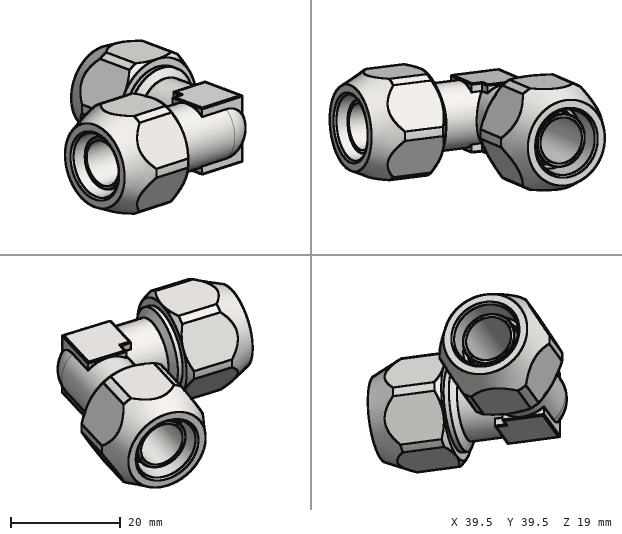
import cadquery as cq
import math

ARM_LENGTH = 29.0
ARM_ANGLE = 90.0

NUT_ACROSS_FLATS = 19.0
NUT_CORNER_RADIUS = 10.5
NUT_LENGTH = 14.5
NUT_END_RADIUS = 8.0
NUT_TAPER_LENGTH = 5.6
NUT_BACK_CHAMFER = 1.0

TUBE_RADIUS = 6.25
COLLAR_RADIUS = 8.0
COLLAR_LENGTH = 1.0
COLLAR_TAPER_LENGTH = 1.0

PAD_OUTER = 4.0
PAD_INNER = 6.0
PAD_NOTCH = 3.9
PAD_HALF_HEIGHT = 6.5
PAD_EDGE_CHAMFER = 0.2

BORE_RADIUS = 4.3
BORE_X_END = 2.0
BORE_Y_END = 0.0
DRILL_POINT_ANGLE = 118.0

MOUTH_RADIUS = 6.1
MOUTH_CHAMFER = 0.4
SLEEVE_TIP_DEPTH = 2.0
SLEEVE_RADIUS = 4.95
SLEEVE_TIP_CHAMFER = 0.1
SLEEVE_ROOT_RADIUS = 5.3
SLEEVE_FLARE_LENGTH = 0.5
ANNULUS_DEPTH = 6.0


def revolve_about_x(points):
    """Revolve a closed (x, radius) outline a full turn about the X axis."""
    return cq.Workplane("XY").polyline(points).close().revolve(360, (0, 0, 0), (1, 0, 0))


def make_nut():
    """Hexagon along X with flats facing +Z and -Z, trimmed by a turned profile."""
    face_x = -ARM_LENGTH
    back_x = face_x + NUT_LENGTH
    across_corners = NUT_ACROSS_FLATS / math.cos(math.pi / 6)
    hexagon = cq.Workplane("YZ", origin=(face_x, 0, 0)).polygon(6, across_corners).extrude(NUT_LENGTH)
    turned = revolve_about_x([
        (face_x, 0),
        (face_x, NUT_END_RADIUS),
        (face_x + NUT_TAPER_LENGTH, NUT_CORNER_RADIUS),
        (back_x - NUT_BACK_CHAMFER, NUT_CORNER_RADIUS),
        (back_x, NUT_CORNER_RADIUS - NUT_BACK_CHAMFER),
        (back_x, 0),
    ])
    return hexagon.intersect(turned)


def make_neck():
    """Collar behind the nut, tapering down to the tube that reaches the elbow centre."""
    collar_start = NUT_LENGTH - ARM_LENGTH
    taper_start = collar_start + COLLAR_LENGTH
    taper_end = taper_start + COLLAR_TAPER_LENGTH
    return revolve_about_x([
        (collar_start, 0),
        (collar_start, COLLAR_RADIUS),
        (taper_start, COLLAR_RADIUS),
        (taper_end, TUBE_RADIUS),
        (0, TUBE_RADIUS),
        (0, 0),
    ])


def make_mouth_cut():
    """Chamfered nut mouth that narrows to an annular gap around the sleeve."""
    face_x = -ARM_LENGTH
    tip_x = face_x + SLEEVE_TIP_DEPTH
    bottom_x = face_x + ANNULUS_DEPTH
    return revolve_about_x([
        (face_x, 0),
        (face_x, MOUTH_RADIUS + MOUTH_CHAMFER),
        (face_x + MOUTH_CHAMFER, MOUTH_RADIUS),
        (bottom_x, MOUTH_RADIUS),
        (bottom_x, SLEEVE_ROOT_RADIUS),
        (bottom_x - SLEEVE_FLARE_LENGTH, SLEEVE_RADIUS),
        (tip_x + SLEEVE_TIP_CHAMFER, SLEEVE_RADIUS),
        (tip_x, SLEEVE_RADIUS - SLEEVE_TIP_CHAMFER),
        (tip_x, 0),
    ])


def make_bore(full_diameter_end):
    """Bore of the -X arm with its conical drill point starting at full_diameter_end."""
    point_length = BORE_RADIUS / math.tan(math.radians(DRILL_POINT_ANGLE / 2))
    return revolve_about_x([
        (-ARM_LENGTH, 0),
        (-ARM_LENGTH, BORE_RADIUS),
        (full_diameter_end, BORE_RADIUS),
        (full_diameter_end + point_length, 0),
    ])


def make_pads():
    """L-shaped block through the elbow, standing out as a pad at top and bottom."""
    outline = [
        (-PAD_INNER, PAD_OUTER),
        (PAD_OUTER, PAD_OUTER),
        (PAD_OUTER, -PAD_INNER),
        (-PAD_NOTCH, -PAD_INNER),
        (-PAD_NOTCH, -PAD_NOTCH),
        (-PAD_INNER, -PAD_NOTCH),
    ]
    block = cq.Workplane("XY").polyline(outline).close().extrude(PAD_HALF_HEIGHT, both=True)
    return block.faces("|Z").edges().chamfer(PAD_EDGE_CHAMFER)


def on_y_arm(shape):
    """Place a shape made for the -X arm on the -Y arm."""
    return shape.rotate((0, 0, 0), (0, 0, 1), ARM_ANGLE)


nut = make_nut()
neck = make_neck()
mouth_cut = make_mouth_cut()

elbow_ball = cq.Workplane("XY").sphere(TUBE_RADIUS)
body = neck.union(on_y_arm(neck)).union(elbow_ball).union(make_pads())
body = body.union(nut).union(on_y_arm(nut))

body = body.cut(make_bore(BORE_X_END)).cut(on_y_arm(make_bore(BORE_Y_END)))
result = body.cut(mouth_cut).cut(on_y_arm(mouth_cut))